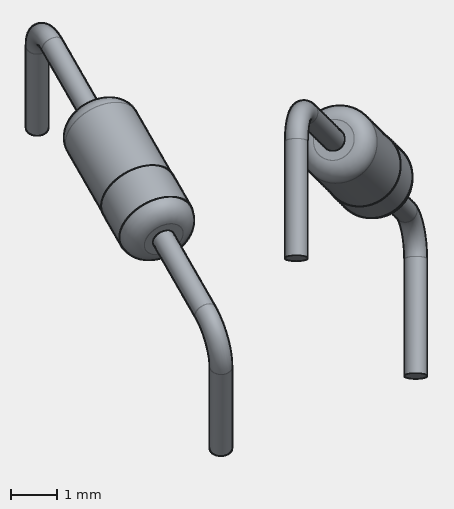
import cadquery as cq

height = 4.33
span = 10.66
lead_diameter = 0.5
bend_radius = 0.85

body_length = 3.82
body_diameter = 1.72
body_edge_radius = 0.4

band_diameter = 1.74
band_length = 1.0

leg_x = (span - lead_diameter) / 2
leg_depth = height - band_diameter / 2


def make_lead():
    """Round wire running along the body axis and bent down at both ends."""
    bend_start_x = leg_x - bend_radius
    path = (
        cq.Workplane("XZ")
        .moveTo(-leg_x, -leg_depth)
        .lineTo(-leg_x, -bend_radius)
        .radiusArc((-bend_start_x, 0), bend_radius)
        .lineTo(bend_start_x, 0)
        .radiusArc((leg_x, -bend_radius), bend_radius)
        .lineTo(leg_x, -leg_depth)
    )
    wire_end = cq.Workplane("XY", origin=(-leg_x, 0, -leg_depth))
    return wire_end.circle(lead_diameter / 2).sweep(path)


def make_body():
    """Cylinder along X with rounded end edges."""
    return (
        cq.Workplane("YZ", origin=(-body_length / 2, 0, 0))
        .circle(body_diameter / 2)
        .extrude(body_length)
        .edges("%CIRCLE")
        .fillet(body_edge_radius)
    )


def make_band():
    """Slightly raised band near the +X end of the body."""
    band_end_x = body_length / 2 - body_edge_radius
    band_start = cq.Workplane("YZ", origin=(band_end_x - band_length, 0, 0))
    return band_start.circle(band_diameter / 2).extrude(band_length)


result = make_body().union(make_band()).union(make_lead())